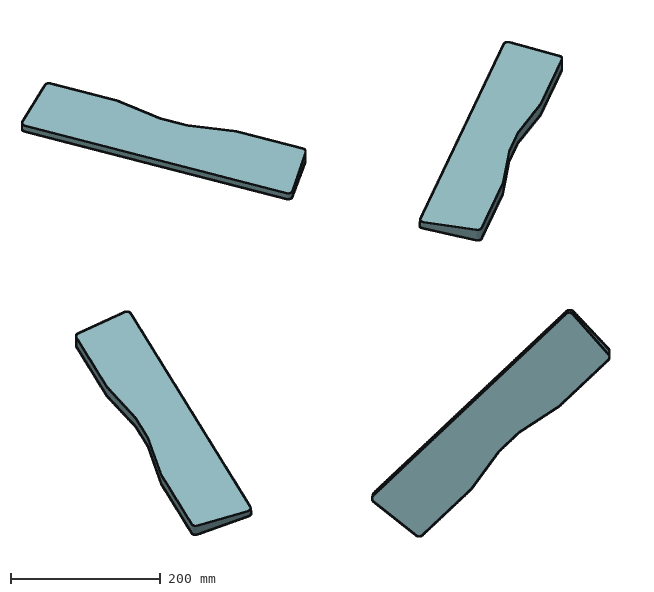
import cadquery as cq
import math

length = 382.8
depth = 85.0
rear_height = 19.5

bottom_angle = 6
side_angle = 5.2
corner_radius = 6.0

recess_depth = 11.5
recess_floor_width = 38.3
recess_angle = 10


def tangent(angle):
    return math.tan(math.radians(angle))


front_height = rear_height - depth * tangent(bottom_angle)
front_setback = front_height * tangent(bottom_angle)

corner_tangent_length = corner_radius / tangent((90 - side_angle) / 2)
round_trim = corner_tangent_length * math.sin(math.radians(side_angle))
front_half = length / 2 + round_trim
rear_half = front_half - depth * tangent(side_angle)
floor_half = recess_floor_width / 2
mouth_half = floor_half + recess_depth / tangent(recess_angle)


def plan_prism():
    """Tapered plan outline with the rear recess, as tall as the whole part."""
    right_half = [
        (front_half, 0),
        (rear_half, depth),
        (mouth_half, depth),
        (floor_half, depth - recess_depth),
    ]
    left_half = [(-x, y) for x, y in reversed(right_half)]
    return cq.Workplane("XY").polyline(right_half + left_half).close().extrude(-rear_height)


def wedge():
    """Side profile with the sloping underside and leaning front wall."""
    profile = [
        (front_setback, 0),
        (depth, 0),
        (depth, -rear_height),
        (0, -front_height),
    ]
    return cq.Workplane("YZ").polyline(profile).close().extrude(front_half, both=True)


body = plan_prism().intersect(wedge())
end_wall_corners = body.faces("<X or >X").edges("<Y or >Y")
result = end_wall_corners.fillet(corner_radius)